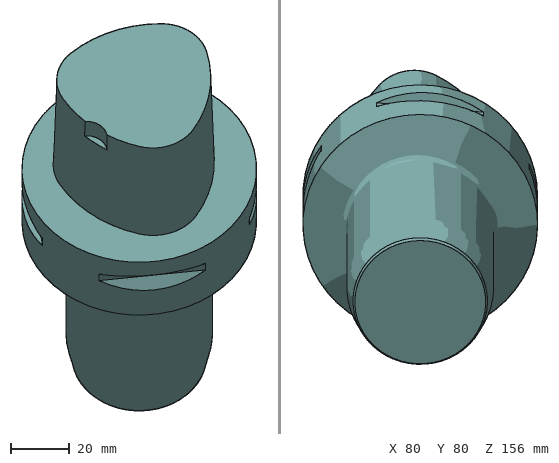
import cadquery as cq
import math

TOTAL_HEIGHT = 156.0
FLANGE_TOP = 108.0
FLANGE_BOTTOM = 78.0
CONE_HEIGHT = 3.5
NECK_TOP = 72.2
TAPER_BLEND_TOP = 14.8
END_CHAMFER_HEIGHT = 1.1

FLANGE_RADIUS = 80.0 / 2
BODY_RADIUS = 50.0 / 2
CONE_END_RADIUS = 26.5
TIP_RADIUS = 23.0
END_CHAMFER_WIDTH = 0.6
TAPER_BLEND_HEIGHT = 3.7

LOBE_CENTER_DISTANCE = 12.3
LOBE_RADIUS = 17.2
FLAT_DISTANCE = 25.5
SHANK_TAPER = 1 / 40
SHANK_HEIGHT = TOTAL_HEIGHT - FLANGE_TOP

SCALLOP_RADIUS = 7.0
SCALLOP_DEPTH = 2.0
SCALLOP_HEIGHT = 8.1

SLOT_COUNT = 4
SLOT_LEVEL = 96.1
SLOT_FLOOR_HEIGHT = 3.6
SLOT_FLOOR_DISTANCE = 35.5
SLOT_FLANK_ANGLE = 29.0


def make_turned_body():
    """Revolve the flange, cone, neck and tapered pilot."""
    blend_bottom = TAPER_BLEND_TOP - TAPER_BLEND_HEIGHT
    slope = (BODY_RADIUS - TIP_RADIUS) / (TAPER_BLEND_TOP - TAPER_BLEND_HEIGHT / 2 - END_CHAMFER_HEIGHT)
    blend_end_radius = BODY_RADIUS - slope * TAPER_BLEND_HEIGHT / 2
    return (
        cq.Workplane("XZ")
        .moveTo(0, 0)
        .lineTo(TIP_RADIUS - END_CHAMFER_WIDTH, 0)
        .lineTo(TIP_RADIUS, END_CHAMFER_HEIGHT)
        .lineTo(blend_end_radius, blend_bottom)
        .tangentArcPoint((BODY_RADIUS, TAPER_BLEND_TOP), relative=False)
        .lineTo(BODY_RADIUS, NECK_TOP)
        .tangentArcPoint((CONE_END_RADIUS, FLANGE_BOTTOM - CONE_HEIGHT), relative=False)
        .lineTo(FLANGE_RADIUS, FLANGE_BOTTOM)
        .lineTo(FLANGE_RADIUS, FLANGE_TOP)
        .lineTo(0, FLANGE_TOP)
        .close()
        .revolve(360, (0, 0, 0), (0, 1, 0))
    )


def polar(radius, degrees):
    angle = math.radians(degrees)
    return radius * math.cos(angle), radius * math.sin(angle)


def lobed_outline(plane, inset):
    """Add three small lobe arcs joined tangentially by three large flat arcs."""
    lobe_radius = LOBE_RADIUS - inset
    flat_distance = FLAT_DISTANCE - inset
    lobe_x, lobe_y = polar(LOBE_CENTER_DISTANCE, -30)

    offset = flat_distance + lobe_y
    large_radius = (lobe_x**2 + offset**2 - lobe_radius**2) / (2 * (offset - lobe_radius))
    large_center_y = large_radius - flat_distance
    stretch = large_radius / (large_radius - lobe_radius)
    joint_x = lobe_x * stretch
    joint_y = large_center_y + (lobe_y - large_center_y) * stretch
    joint_distance = math.hypot(joint_x, joint_y)
    joint_angle = -30 - math.degrees(math.atan2(joint_y, joint_x))

    outline = plane.moveTo(*polar(joint_distance, -30 - joint_angle))
    for lobe_angle in (-30, 90, 210):
        lobe_tip = polar(LOBE_CENTER_DISTANCE + lobe_radius, lobe_angle)
        lobe_end = polar(joint_distance, lobe_angle + joint_angle)
        flat_middle = polar(flat_distance, lobe_angle + 60)
        flat_end = polar(joint_distance, lobe_angle + 120 - joint_angle)
        outline = outline.threePointArc(lobe_tip, lobe_end).threePointArc(flat_middle, flat_end)
    return outline.close()


def make_shank():
    base = cq.Workplane("XY").workplane(offset=FLANGE_TOP)
    lower = lobed_outline(base, 0)
    upper = lobed_outline(lower.workplane(offset=SHANK_HEIGHT), SHANK_HEIGHT * SHANK_TAPER)
    return upper.loft(ruled=True, combine=True)


def make_scallop():
    top_flat = FLAT_DISTANCE - SHANK_HEIGHT * SHANK_TAPER
    center_y = -top_flat + SCALLOP_DEPTH - SCALLOP_RADIUS
    return (
        cq.Workplane("XY")
        .workplane(offset=TOTAL_HEIGHT - SCALLOP_HEIGHT)
        .center(0, center_y)
        .circle(SCALLOP_RADIUS)
        .extrude(SCALLOP_HEIGHT)
    )


def make_gripper_slot(angle):
    """Flared slot with a flat floor, cut across the flange rim."""
    half_floor = SLOT_FLOOR_HEIGHT / 2
    depth = FLANGE_RADIUS - SLOT_FLOOR_DISTANCE
    half_mouth = half_floor + depth * math.tan(math.radians(SLOT_FLANK_ANGLE))
    return (
        cq.Workplane("XZ")
        .moveTo(SLOT_FLOOR_DISTANCE, SLOT_LEVEL - half_floor)
        .lineTo(FLANGE_RADIUS, SLOT_LEVEL - half_mouth)
        .lineTo(FLANGE_RADIUS, SLOT_LEVEL + half_mouth)
        .lineTo(SLOT_FLOOR_DISTANCE, SLOT_LEVEL + half_floor)
        .close()
        .extrude(FLANGE_RADIUS, both=True)
        .rotate((0, 0, 0), (0, 0, 1), angle)
    )


result = make_turned_body().union(make_shank()).cut(make_scallop())
for index in range(SLOT_COUNT):
    result = result.cut(make_gripper_slot((index + 0.5) * 360 / SLOT_COUNT))